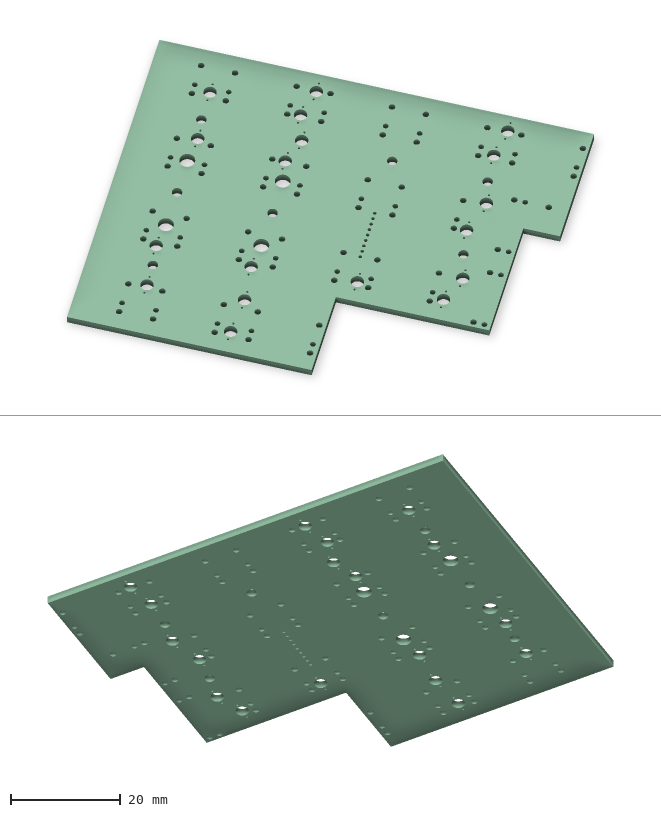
import cadquery as cq

BOARD_LENGTH = 82.0
BOARD_WIDTH = 64.8
BOARD_THICKNESS = 1.6

KEY_PITCH_X = 18.0
KEY_PITCH_Y = 17.0
COLUMN_COUNT = 5
ROW_COUNT = 4
FIRST_KEY_X = 3.07
FIRST_KEY_Y = BOARD_WIDTH / 2 - KEY_PITCH_Y * (ROW_COUNT - 1) / 2
TURNED_KEYS = [(4, 1), (4, 2)]

UPPER_STEP_COLUMN = 4
UPPER_STEP_ROW = 2
UPPER_STEP_X = FIRST_KEY_X + UPPER_STEP_COLUMN * KEY_PITCH_X
UPPER_STEP_Y = FIRST_KEY_Y + UPPER_STEP_ROW * KEY_PITCH_Y
LOWER_STEP_X = 46.15
LOWER_STEP_Y = 17.05

LEAD_LINE_OFFSET = 5.8
OUTER_LEAD_OFFSET = 3.25
INNER_LEAD_OFFSET = -1.2
OUTER_LEAD_DIAMETER = 1.2
INNER_LEAD_DIAMETER = 1.05

POST_DIAMETER = 1.9
POST_CORNERS = [(0, 0), (0, 1), (0, 2), (1, 1), (2, 2), (3, 1), (3, 2)]

LARGE_HOLE_DIAMETER = 2.9
LARGE_HOLE_COLUMNS_X = [12.0, 30.0]
LARGE_HOLE_ROWS_Y = [24.8, 39.83]

SOCKET_DIAMETER = 2.45
PIN_DIAMETER = 0.4
PIN_OFFSET = 1.85
SOCKET_CENTRES = [
    (12.2, 10.8),
    (11.5, 19.8),
    (12.55, 45.1),
    (12.0, 55.75),
    (29.65, 4.6),
    (30.25, 12.15),
    (29.45, 19.7),
    (29.25, 44.35),
    (29.25, 55.1),
    (30.95, 49.6),
    (30.65, 60.95),
    (49.0, 21.45),
    (65.2, 21.65),
    (65.2, 37.85),
    (65.6, 55.45),
    (66.65, 61.4),
    (67.1, 44.65),
    (67.35, 27.2),
]

HEADER_DIAMETER = 0.65
HEADER_PITCH = 1.27
HEADER_COUNT = 9
HEADER_COLUMN = 2
HEADER_X = FIRST_KEY_X + (HEADER_COLUMN + 0.5) * KEY_PITCH_X
HEADER_CENTRE_Y = 32.1


def key_centre(column, row):
    return FIRST_KEY_X + column * KEY_PITCH_X, FIRST_KEY_Y + row * KEY_PITCH_Y


def key_corner(column, row):
    """Point shared by the key at (column, row) and its right and upper neighbours."""
    return key_centre(column + 0.5, row + 0.5)


def on_board(point):
    """True if the point lies inside the stepped outline."""
    x, y = point
    if not (0 < x < BOARD_LENGTH and 0 < y < BOARD_WIDTH):
        return False
    if x > UPPER_STEP_X:
        return y > UPPER_STEP_Y
    return x < LOWER_STEP_X or y > LOWER_STEP_Y


def lead_points(offsets):
    """Lead holes of every key at the given offsets along its lead lines."""
    points = []
    for column in range(COLUMN_COUNT):
        for row in range(ROW_COUNT):
            x, y = key_centre(column, row)
            for side in (-LEAD_LINE_OFFSET, LEAD_LINE_OFFSET):
                for along in offsets:
                    if (column, row) in TURNED_KEYS:
                        points.append((x + along, y + side))
                    else:
                        points.append((x + side, y + along))
    return [point for point in points if on_board(point)]


def large_hole_points():
    return [(x, y) for x in LARGE_HOLE_COLUMNS_X for y in LARGE_HOLE_ROWS_Y]


def pin_points():
    points = []
    for x, y in SOCKET_CENTRES:
        points += [(x, y - PIN_OFFSET), (x, y + PIN_OFFSET)]
    return points


def header_points():
    first_y = HEADER_CENTRE_Y - HEADER_PITCH * (HEADER_COUNT - 1) / 2
    return [(HEADER_X, first_y + i * HEADER_PITCH) for i in range(HEADER_COUNT)]


def make_board():
    outline = [
        (0, 0),
        (LOWER_STEP_X, 0),
        (LOWER_STEP_X, LOWER_STEP_Y),
        (UPPER_STEP_X, LOWER_STEP_Y),
        (UPPER_STEP_X, UPPER_STEP_Y),
        (BOARD_LENGTH, UPPER_STEP_Y),
        (BOARD_LENGTH, BOARD_WIDTH),
        (0, BOARD_WIDTH),
    ]
    return cq.Workplane("XY").polyline(outline).close().extrude(BOARD_THICKNESS)


def make_drills(points, diameter):
    """Cylinders through the board thickness, one at each point."""
    return cq.Workplane("XY").pushPoints(points).circle(diameter / 2).extrude(BOARD_THICKNESS)


hole_groups = [
    (lead_points([-OUTER_LEAD_OFFSET, OUTER_LEAD_OFFSET]), OUTER_LEAD_DIAMETER),
    (lead_points([INNER_LEAD_OFFSET]), INNER_LEAD_DIAMETER),
    ([key_corner(column, row) for column, row in POST_CORNERS], POST_DIAMETER),
    (large_hole_points(), LARGE_HOLE_DIAMETER),
    (SOCKET_CENTRES, SOCKET_DIAMETER),
    (pin_points(), PIN_DIAMETER),
    (header_points(), HEADER_DIAMETER),
]

result = make_board()
for hole_points, hole_diameter in hole_groups:
    result = result.cut(make_drills(hole_points, hole_diameter))